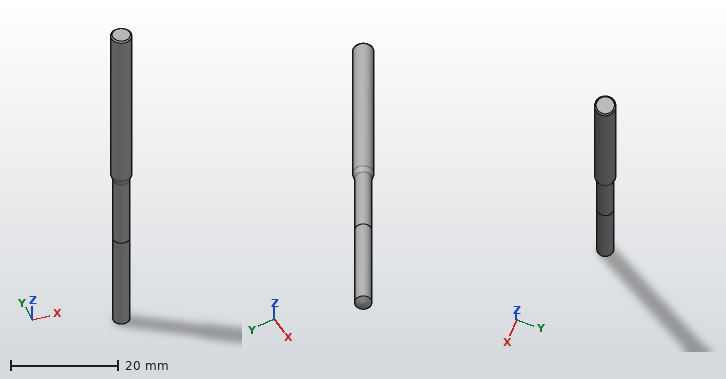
import cadquery as cq
import math

total_length = 74.0
shank_diameter = 4.0
shank_length = 36.0
shank_chamfer = 0.3

neck_diameter = 3.25
taper_half_angle = 15.0

head_diameter = 3.25
head_length = 21.5
point_angle = 140.0

shank_radius = shank_diameter / 2
neck_radius = neck_diameter / 2
head_radius = head_diameter / 2
shank_bottom = total_length - shank_length
taper_length = (shank_radius - neck_radius) / math.tan(math.radians(taper_half_angle))
taper_bottom = shank_bottom - taper_length
point_height = head_radius / math.tan(math.radians(point_angle / 2))


def revolve_profile(points):
    """Revolve a closed (radius, height) outline about the Z axis."""
    return cq.Workplane("XZ").polyline(points).close().revolve(360, (0, 0, 0), (0, 1, 0))


def make_shank():
    """Chamfered shank, tapering down to the neck that meets the head."""
    outline = [
        (0, head_length),
        (neck_radius, head_length),
        (neck_radius, taper_bottom),
        (shank_radius, shank_bottom),
        (shank_radius, total_length - shank_chamfer),
        (shank_radius - shank_chamfer, total_length),
        (0, total_length),
    ]
    return revolve_profile(outline)


def make_head():
    """Cylindrical head with its conical point at the origin."""
    outline = [
        (0, 0),
        (head_radius, point_height),
        (head_radius, head_length),
        (0, head_length),
    ]
    return revolve_profile(outline)


shank = make_shank()
head = make_head()

result = cq.Compound.makeCompound([shank.val(), head.val()])